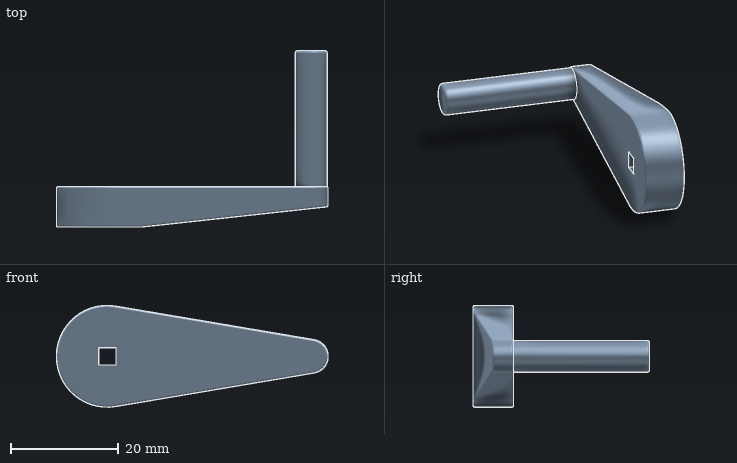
import math

import cadquery as cq

HUB_RADIUS = 9.525
TIP_RADIUS = 3.175
ARM_CENTERS = 38.1
HUB_THICKNESS = 7.62
TIP_THICKNESS = 3.81
EDGE_ROUND = 0.381

SLOPE_START_X = 6.35
SLOPE_BLEND_RADIUS = 6.35

SQUARE_HOLE = 3.175

PIN_DIAMETER = 6.0
PIN_LENGTH = 25.4
PIN_END_ROUND = 0.508

BACK_Y = HUB_THICKNESS / 2
FRONT_Y = -HUB_THICKNESS / 2
TIP_END_X = ARM_CENTERS + TIP_RADIUS


def arm_blank():
    """Teardrop plate: two arcs joined by their outer tangent lines."""
    tangent_cos = (HUB_RADIUS - TIP_RADIUS) / ARM_CENTERS
    tangent_sin = math.sqrt(1 - tangent_cos**2)
    hub_x = HUB_RADIUS * tangent_cos
    hub_z = HUB_RADIUS * tangent_sin
    tip_x = ARM_CENTERS + TIP_RADIUS * tangent_cos
    tip_z = TIP_RADIUS * tangent_sin
    return (
        cq.Workplane("XZ", origin=(0, BACK_Y, 0))
        .moveTo(hub_x, hub_z)
        .threePointArc((-HUB_RADIUS, 0), (hub_x, -hub_z))
        .lineTo(tip_x, -tip_z)
        .threePointArc((TIP_END_X, 0), (tip_x, tip_z))
        .close()
        .extrude(HUB_THICKNESS)
    )


def front_slope_cutter():
    """Wedge in front of the sloping face, reaching well past the plate on all sides."""
    margin = HUB_RADIUS
    slope = (HUB_THICKNESS - TIP_THICKNESS) / (TIP_END_X - SLOPE_START_X)
    far_x = TIP_END_X + margin
    far_y = FRONT_Y + slope * (far_x - SLOPE_START_X)
    return (
        cq.Workplane("XY")
        .moveTo(SLOPE_START_X, FRONT_Y)
        .lineTo(far_x, far_y)
        .lineTo(far_x, FRONT_Y)
        .close()
        .extrude(HUB_RADIUS + margin, both=True)
    )


def arm():
    """Tapered arm with a blended bend line; the rim rounding runs on along the tangent slope edges."""
    tapered = arm_blank().cut(front_slope_cutter())
    bend_point = (SLOPE_START_X, FRONT_Y, 0)
    bend_edge = cq.selectors.NearestToPointSelector(bend_point)
    blended = tapered.edges("|Z").edges(bend_edge).fillet(SLOPE_BLEND_RADIUS)
    return blended.faces(">Y or <Y").edges("not(|Z)").fillet(EDGE_ROUND)


def square_hole_cutter():
    return cq.Workplane("XY").box(SQUARE_HOLE, 2 * HUB_THICKNESS, SQUARE_HOLE)


def handle_pin():
    """Round pin with a rounded free end, rooted inside the tip of the arm."""
    root_depth = TIP_THICKNESS / 2
    return (
        cq.Workplane("XZ", origin=(ARM_CENTERS, BACK_Y - root_depth, 0))
        .circle(PIN_DIAMETER / 2)
        .extrude(-(PIN_LENGTH + root_depth))
        .faces(">Y")
        .edges()
        .fillet(PIN_END_ROUND)
    )


result = arm().cut(square_hole_cutter()).union(handle_pin())